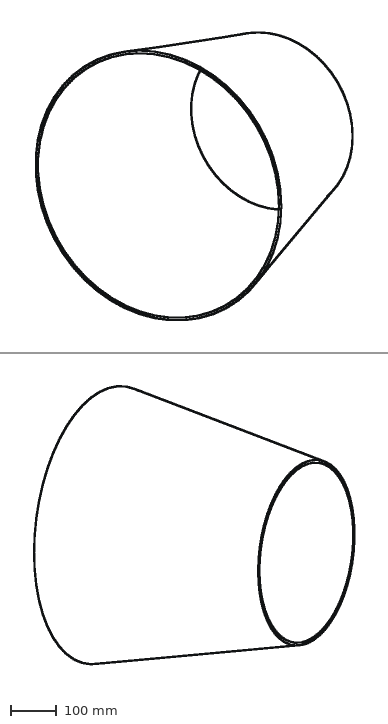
import cadquery as cq

large_diameter = 609.5
small_diameter = 406.5
length = 508.0
wall = 6.0

large_radius = large_diameter / 2
small_radius = small_diameter / 2
large_end_y = -length / 2
small_end_y = length / 2

wall_section = (
    cq.Workplane("XY")
    .moveTo(large_radius - wall, large_end_y)
    .lineTo(large_radius, large_end_y)
    .lineTo(small_radius, small_end_y)
    .lineTo(small_radius - wall, small_end_y)
    .close()
)

result = wall_section.revolve(360, (0, 0, 0), (0, 1, 0))